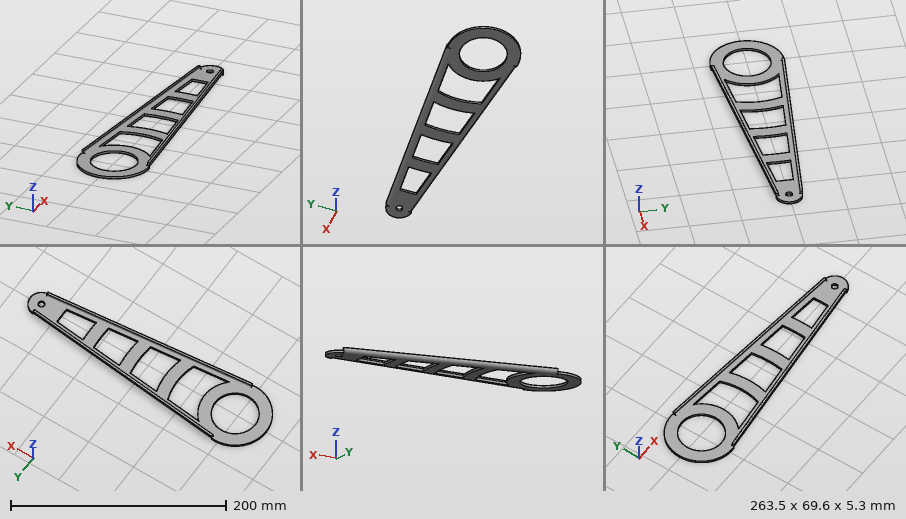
import cadquery as cq
import math

total_length = 263.5
ring_radius = 34.8
ring_hole_diameter = 44.5
tip_radius = 12.6
tip_hole_diameter = 6.3
tip_x = total_length - ring_radius - tip_radius
sheet_thickness = 2.5

total_height = 5.3
inner_bend_radius = 0.8
outer_bend_radius = inner_bend_radius + sheet_thickness

frame_width = 6.9
bar_width = 12.6
window_outer_radii = (64.5, 107.2, 150.2, 193.7)

normal_x = (ring_radius - tip_radius) / tip_x
normal_y = math.sqrt(1 - normal_x**2)


def edge_points(inset):
    """End points of the upper tapered edge, moved inward by inset."""
    ring_reach = ring_radius - inset
    tip_reach = tip_radius - inset
    return (
        (ring_reach * normal_x, ring_reach * normal_y),
        (tip_x + tip_reach * normal_x, tip_reach * normal_y),
    )


def mirrored(point):
    return (point[0], -point[1])


def make_plate():
    ring_end, tip_end = edge_points(0)
    outline = (
        cq.Workplane("XY")
        .moveTo(*ring_end)
        .lineTo(*tip_end)
        .threePointArc((tip_x + tip_radius, 0), mirrored(tip_end))
        .lineTo(*mirrored(ring_end))
        .threePointArc((-ring_radius, 0), ring_end)
        .close()
    )
    return outline.extrude(sheet_thickness)


def make_windows():
    """Tapered opening split into windows by arcs about the ring centre."""
    ring_end, tip_end = edge_points(frame_width)
    corners = [ring_end, tip_end, mirrored(tip_end), mirrored(ring_end)]
    taper = cq.Workplane("XY").polyline(corners).close().extrude(sheet_thickness)
    bands = cq.Workplane("XY")
    inner_radius = ring_radius
    for outer_radius in window_outer_radii:
        band = cq.Workplane("XY").circle(outer_radius).circle(inner_radius).extrude(sheet_thickness)
        bands = bands.add(band)
        inner_radius = outer_radius + bar_width
    return taper.intersect(bands.combine())


def make_strip(outer_inset, inner_inset, bottom, top):
    """Strip along the upper tapered edge between two insets and two heights."""
    outer_start, outer_end = edge_points(outer_inset)
    inner_start, inner_end = edge_points(inner_inset)
    return (
        cq.Workplane("XY")
        .workplane(offset=bottom)
        .polyline([outer_start, outer_end, inner_end, inner_start])
        .close()
        .extrude(top - bottom)
    )


def make_bend_cylinder(radius):
    """Cylinder along the bend axis, as long as the tapered edge."""
    start, end = edge_points(outer_bend_radius)
    axis = cq.Vector(end[0] - start[0], end[1] - start[1], 0)
    base = cq.Vector(start[0], start[1], outer_bend_radius)
    return cq.Workplane(cq.Solid.makeCylinder(radius, axis.Length, base, axis))


def make_rail():
    """Bent-up flange: an upright wall joined to the plate by a quarter-round bend."""
    wall = make_strip(0, sheet_thickness, outer_bend_radius, total_height)
    bend_block = make_strip(0, outer_bend_radius, 0, outer_bend_radius)
    bend_ring = make_bend_cylinder(outer_bend_radius).cut(make_bend_cylinder(inner_bend_radius))
    return wall.union(bend_block.intersect(bend_ring))


plate = make_plate().cut(make_windows())
for hole_x, diameter in ((0, ring_hole_diameter), (tip_x, tip_hole_diameter)):
    hole = cq.Workplane("XY").center(hole_x, 0).circle(diameter / 2).extrude(sheet_thickness)
    plate = plate.cut(hole)

bend_zone = make_strip(0, outer_bend_radius, 0, sheet_thickness)
rail = make_rail()
for cutter in (bend_zone, bend_zone.mirror("XZ")):
    plate = plate.cut(cutter)
result = plate.union(rail).union(rail.mirror("XZ"))